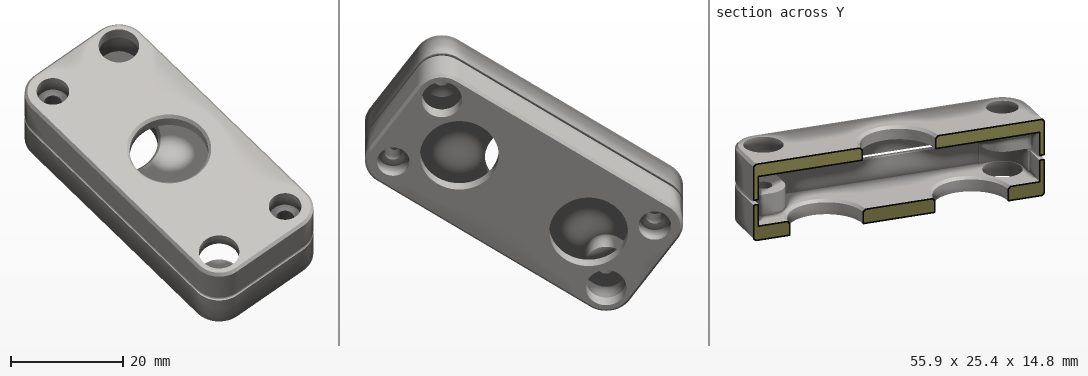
import cadquery as cq

length = 55.9
width = 25.4
total_height = 14.8
shell_height = 7.0
corner_radius = 5.05
edge_chamfer = 0.5

wall = 1.0
upper_skin = 2.5
lower_skin = 2.8
cavity_corner_radius = corner_radius - wall

screw_x = length / 2 - corner_radius
screw_y = width / 2 - corner_radius
screw_diameter = 3.2
head_diameter = 5.8
head_depth = 3.5
access_diameter = 7.2
pocket_half_width = 3.8
post_reach = 3.9
access_reach = 3.0

window_diameter = 14.0
window_chamfer = 0.5
lower_window_x = 13.9


def corner_block(side_x, side_y, reach, bottom, top):
    """Rectangular block filling one corner, out to the outer walls."""
    size = corner_radius + reach
    center_x = side_x * (length - size) / 2
    center_y = side_y * (width - size) / 2
    return (cq.Workplane("XY", origin=(center_x, center_y, bottom))
            .rect(size, size).extrude(top - bottom))


def upright_cylinder(x, y, diameter, bottom, top):
    return cq.Workplane("XY", origin=(x, y, bottom)).circle(diameter / 2).extrude(top - bottom)


def access_pocket(side_x, side_y, bottom, top):
    """Clearance around the access hole, rounded in the corner and open to the middle."""
    size = pocket_half_width + post_reach
    shift = (post_reach - pocket_half_width) / 2
    outer_corner = (">X" if side_x > 0 else "<X", ">Y" if side_y > 0 else "<Y")
    return (cq.Workplane("XY", origin=(side_x * (screw_x - shift), side_y * (screw_y - shift), bottom))
            .rect(size, size).extrude(top - bottom)
            .edges("|Z").edges(outer_corner[0]).edges(outer_corner[1]).fillet(pocket_half_width))


def open_shell(skin):
    """Shell open at z = 0 with its outer face at z = shell_height, screw and access holes cut."""
    shell = (cq.Workplane("XY").rect(length, width).extrude(shell_height)
             .edges("|Z").fillet(corner_radius)
             .faces(">Z").edges().chamfer(edge_chamfer))
    ceiling = shell_height - skin
    cavity = (cq.Workplane("XY").rect(length - 2 * wall, width - 2 * wall).extrude(ceiling)
              .edges("|Z").fillet(cavity_corner_radius))
    post_sides = [(1, 1), (-1, -1)]
    for side_x, side_y in post_sides:
        post = corner_block(side_x, side_y, post_reach, 0, ceiling)
        post = post.edges("|Z").edges("<X" if side_x > 0 else ">X").edges("<Y" if side_y > 0 else ">Y")
        cavity = cavity.cut(post.fillet(post_reach))
        cavity = cavity.cut(corner_block(side_x, -side_y, access_reach, 0, ceiling))
        cavity = cavity.union(access_pocket(side_x, -side_y, 0, ceiling))
    shell = shell.cut(cavity)
    for side_x, side_y in post_sides:
        x = side_x * screw_x
        y = side_y * screw_y
        shell = shell.cut(upright_cylinder(x, y, screw_diameter, 0, shell_height))
        shell = shell.cut(upright_cylinder(x, y, head_diameter, shell_height - head_depth, shell_height))
        shell = shell.cut(upright_cylinder(x, -y, access_diameter, 0, shell_height))
    return shell


def window_cutter(x, wide_z, narrow_z):
    """Round opening through the skin, chamfered at the wide_z end."""
    direction = 1 if narrow_z > wide_z else -1
    radius = window_diameter / 2
    chamfer_end = wide_z + direction * window_chamfer
    profile = [(0, wide_z), (radius + window_chamfer, wide_z), (radius, chamfer_end),
               (radius, narrow_z), (0, narrow_z)]
    return (cq.Workplane("XZ").polyline(profile).close()
            .revolve(360, (0, 0), (0, 1)).translate((x, 0, 0)))


upper_shell = open_shell(upper_skin)
upper_shell = upper_shell.cut(window_cutter(0, shell_height, shell_height - upper_skin))
upper_shell = upper_shell.translate((0, 0, total_height / 2 - shell_height))

lower_shell = open_shell(lower_skin)
for side in (-1, 1):
    lower_shell = lower_shell.cut(
        window_cutter(side * lower_window_x, shell_height - lower_skin, shell_height))
lower_shell = (lower_shell.rotate((0, 0, 0), (1, 0, 0), 180)
               .translate((0, 0, shell_height - total_height / 2)))

result = cq.Compound.makeCompound([upper_shell.val(), lower_shell.val()])